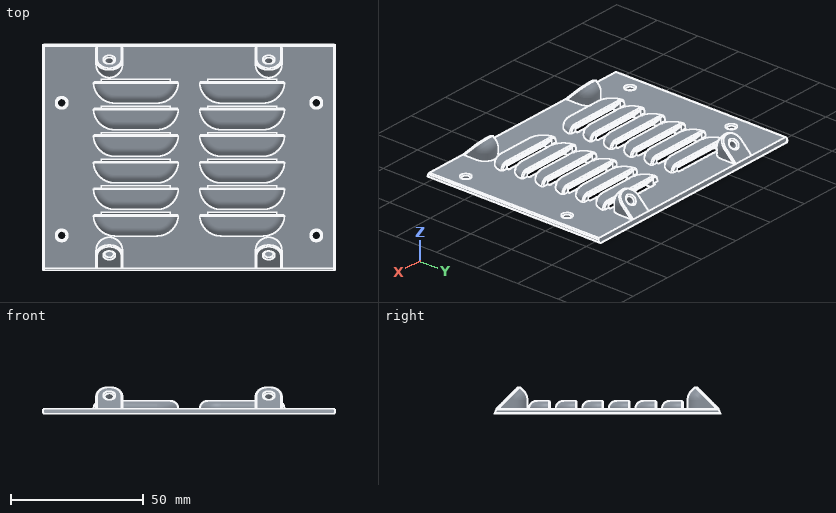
import cadquery as cq
import math

LENGTH = 110
WIDTH = 85.1
THICKNESS = 2.0
SIDE_CHAMFER = 0.5
EDGE_SETBACK = 0.8

HOLE_DIAMETER = 3.4
SINK_DIAMETER = 4.6
SINK_DEPTH = (SINK_DIAMETER - HOLE_DIAMETER) / 2
HOLE_X = 48.0
HOLE_SPACING_Y = 49.9
HOLES_MIDDLE_Y = -4.4

LOUVRE_COLUMN_X = 20.0
LOUVRE_ROWS = 6
LOUVRE_PITCH = 10.0
FIRST_BACK_Y = 28.5
HOOD_STRAIGHT = 16.0
HOOD_RADIUS = 8.0
HOOD_HEIGHT = 3.0
HOOD_CROWN = HOOD_RADIUS - HOOD_HEIGHT
RIM_CHAMFER = 0.5
SLOT_LENGTH = HOOD_STRAIGHT + 2 * HOOD_CROWN
SLOT_LEAD = 0.9
SLOT_RISE = 2.0

LUG_X = 30.0
LUG_WIDTH = 10.0
LUG_RADIUS = LUG_WIDTH / 2
LUG_ELBOW_Y = 35.1
LUG_ELBOW_Z = 5.2
LUG_FACE_CHAMFER = 0.5
LUG_DRILL_DEPTH = 6.6
FACE_FOOT_Y = WIDTH / 2 - EDGE_SETBACK


def make_plate():
    half_length = LENGTH / 2
    half_width = WIDTH / 2
    blank = (
        cq.Workplane("XY")
        .box(LENGTH, WIDTH, THICKNESS, centered=(True, True, False))
        .edges("|Y")
        .chamfer(SIDE_CHAMFER)
    )
    leaning_profile = (
        cq.Workplane("YZ", origin=(-half_length, 0, 0))
        .polyline([
            (-half_width, 0),
            (half_width, 0),
            (FACE_FOOT_Y, THICKNESS),
            (-FACE_FOOT_Y, THICKNESS),
        ])
        .close()
        .extrude(LENGTH)
    )
    return blank.intersect(leaning_profile)


def hood_profile(workplane, outward):
    """Quarter-round section; outward is +1 or -1 along the workplane's local x."""
    return (
        workplane.lineTo(0, HOOD_HEIGHT)
        .lineTo(outward * HOOD_CROWN, HOOD_HEIGHT)
        .radiusArc((outward * HOOD_RADIUS, 0), outward * HOOD_HEIGHT)
        .close()
    )


def make_hood():
    """Hood centred on X = 0, back face on Y = 0, rising from Z = 0."""
    half_straight = HOOD_STRAIGHT / 2
    middle_plane = cq.Workplane("YZ", origin=(-half_straight, 0, 0))
    middle = hood_profile(middle_plane, -1).extrude(HOOD_STRAIGHT)
    right_end = hood_profile(cq.Workplane("XZ"), 1).revolve(90, (0, 0), (0, -1))
    right_end = right_end.translate((half_straight, 0, 0))
    hood = middle.union(right_end).union(right_end.mirror("YZ"))
    return hood.faces(">Y").edges("not <Z").chamfer(RIM_CHAMFER)


def make_slot():
    """Vent rising at 45 degrees from under the plate to the hood's back."""
    return (
        cq.Workplane("YZ", origin=(-SLOT_LENGTH / 2, 0, 0))
        .polyline([
            (SLOT_LEAD, 0),
            (SLOT_LEAD, SLOT_RISE + SLOT_LEAD),
            (-SLOT_RISE - THICKNESS, -THICKNESS),
            (SLOT_LEAD - THICKNESS, -THICKNESS),
        ])
        .close()
        .extrude(SLOT_LENGTH)
    )


def barrel_plane():
    """Plane through the elbow centre, facing along the barrel."""
    return cq.Plane(origin=(0, LUG_ELBOW_Y, LUG_ELBOW_Z), xDir=(1, 0, 0), normal=(0, 1, 1))


def face_distance():
    """Distance from the elbow centre to the sloping face, along the barrel."""
    return (FACE_FOOT_Y + THICKNESS - LUG_ELBOW_Y - LUG_ELBOW_Z) / math.sqrt(2)


def make_lug():
    """Lug at X = 0 on the +Y edge."""
    barrel_length = face_distance()
    barrel_rise = barrel_length / math.sqrt(2)
    post = (
        cq.Workplane("XY", origin=(0, LUG_ELBOW_Y, THICKNESS))
        .circle(LUG_RADIUS)
        .extrude(LUG_ELBOW_Z - THICKNESS)
    )
    elbow = cq.Workplane("XY").sphere(LUG_RADIUS).translate((0, LUG_ELBOW_Y, LUG_ELBOW_Z))
    barrel = cq.Workplane(barrel_plane()).circle(LUG_RADIUS).extrude(barrel_length)
    web = (
        cq.Workplane("YZ", origin=(-LUG_RADIUS, 0, 0))
        .polyline([
            (LUG_ELBOW_Y, THICKNESS),
            (LUG_ELBOW_Y, LUG_ELBOW_Z),
            (LUG_ELBOW_Y + barrel_rise, LUG_ELBOW_Z + barrel_rise),
            (FACE_FOOT_Y, THICKNESS),
        ])
        .close()
        .extrude(LUG_WIDTH)
    )
    above_face = (
        cq.Workplane(barrel_plane())
        .workplane(offset=barrel_length)
        .rect(WIDTH, WIDTH)
        .extrude(LUG_RADIUS)
    )
    body = post.union(elbow).union(web).union(barrel).cut(above_face)
    sloping_face = body.faces(cq.selectors.DirectionMinMaxSelector(cq.Vector(0, 1, 1), True))
    return sloping_face.edges("not <Z").chamfer(LUG_FACE_CHAMFER)


def make_countersunk_cutter(depth):
    """Drill along -Z from the origin, with a 45 degree countersink at its mouth."""
    return (
        cq.Workplane("XZ")
        .polyline([
            (0, 0),
            (SINK_DIAMETER / 2, 0),
            (HOLE_DIAMETER / 2, -SINK_DEPTH),
            (HOLE_DIAMETER / 2, -depth),
            (0, -depth),
        ])
        .close()
        .revolve(360, (0, 0), (0, 1))
    )


panel = make_plate()

hood = make_hood()
slot = make_slot()
louvre_places = [
    (x, FIRST_BACK_Y - row * LOUVRE_PITCH, THICKNESS)
    for x in (-LOUVRE_COLUMN_X, LOUVRE_COLUMN_X)
    for row in range(LOUVRE_ROWS)
]
for place in louvre_places:
    panel = panel.union(hood.translate(place))
    panel = panel.cut(slot.translate(place))

lug = make_lug()
for x in (-LUG_X, LUG_X):
    back_lug = lug.translate((x, 0, 0))
    panel = panel.union(back_lug).union(back_lug.mirror("XZ"))

screw_drill = make_countersunk_cutter(THICKNESS).translate((0, 0, THICKNESS))
for x in (-HOLE_X, HOLE_X):
    for side in (-1, 1):
        y = HOLES_MIDDLE_Y + side * HOLE_SPACING_Y / 2
        panel = panel.cut(screw_drill.translate((x, y, 0)))

lug_drill = make_countersunk_cutter(LUG_DRILL_DEPTH).val()
lug_drill = lug_drill.moved(cq.Location(cq.Vector(0, 0, face_distance())))
lug_drill = cq.Workplane(lug_drill.moved(cq.Location(barrel_plane())))
for x in (-LUG_X, LUG_X):
    back_drill = lug_drill.translate((x, 0, 0))
    panel = panel.cut(back_drill).cut(back_drill.mirror("XZ"))

result = panel